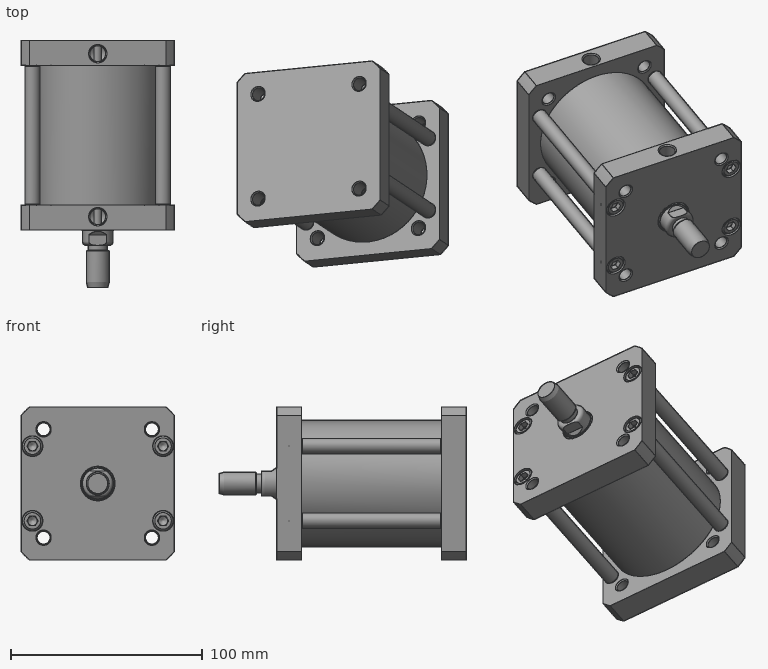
import cadquery as cq
import math


total_length = 129.0
rod_reach = 30.0
cap_size = 80.0
cap_thickness = 13.0
corner_diameter = 107.0
body_length = total_length - rod_reach
rear_cap_start = body_length - cap_thickness

barrel_diameter = 66.0
barrel_bore = 63.0

mount_offset = 28.3
mount_diameter = 6.7
mount_rim_diameter = 8.0

port_diameter = 8.3
port_rim_diameter = 9.5
port_depth = 9.0
port_tip_angle = 118.0
port_setback = 7.0
bar_diameter = 4.0
bar_depth = 9.0

tie_x = 34.0
tie_z = 19.5
tie_diameter = 8.0
tie_chamfer = 0.5
shank_diameter = 6.0
shank_rear_depth = 9.0
head_diameter = 10.5
head_edge_chamfer = 0.9
head_depth = 6.0
head_recess = 0.3
counterbore_diameter = 10.8
counterbore_depth = head_recess + head_depth
socket_width = 5.0
socket_turn = 30.0
socket_depth = 3.0
socket_tip_diameter = 4.9
socket_tip_depth = 1.4

rod_diameter = 16.0
rod_shoulder = 8.0
rod_edge_radius = 1.9
neck_diameter = 10.0
thread_diameter = 12.0
thread_start = 11.0
thread_start_chamfer = 0.5
tip_diameter = 10.5
tip_chamfer_length = 2.7
flat_width = 13.0
flat_start = 2.6
flat_runout = 1.9

recess_diameter = 18.0
recess_depth = 0.8
lip_base_diameter = 17.7
lip_tip_diameter = 16.5
lip_reach = 0.1

tie_positions = [(x, z) for x in (-tie_x, tie_x) for z in (-tie_z, tie_z)]
mount_positions = [(x, z) for x in (-mount_offset, mount_offset) for z in (-mount_offset, mount_offset)]


def revolve_y(points):
    """Turn a closed (radius, y) outline about the Y axis."""
    return cq.Workplane("XY").polyline(points).close().revolve(360, (0, 0, 0), (0, 1, 0))


def cylinder_y(diameter, start, end):
    """Round bar on the Y axis between two Y positions."""
    return cq.Workplane("XZ", origin=(0, start, 0)).circle(diameter / 2).extrude(start - end)


def place(shape, position):
    """Move a shape built on the Y axis to an (x, z) position."""
    x, z = position
    return shape.translate((x, 0, z))


def mount_hole(start, end):
    """Cutter for a through hole with both rims chamfered."""
    radius = mount_diameter / 2
    rim = mount_rim_diameter / 2
    chamfer = rim - radius
    return revolve_y([
        (0, start), (rim, start), (radius, start + chamfer),
        (radius, end - chamfer), (rim, end), (0, end),
    ])


def port_cutter(y):
    """Cutter for a chamfered port with a conical bottom, leaving its crossing bar."""
    top = cap_size / 2
    radius = port_diameter / 2
    rim = port_rim_diameter / 2
    bottom = top - port_depth
    tip = bottom - radius / math.tan(math.radians(port_tip_angle / 2))
    drill = (
        cq.Workplane("XZ")
        .polyline([(0, top), (rim, top), (radius, top - (rim - radius)), (radius, bottom), (0, tip)])
        .close()
        .revolve(360, (0, 0, 0), (0, 1, 0))
    )
    bar = place(cylinder_y(bar_diameter, -rim, rim), (0, top - bar_depth))
    return drill.cut(bar).translate((0, y, 0))


def make_cap(start, port_y):
    """Square cap with turned corners, mounting holes and a port."""
    end = start + cap_thickness
    cap = cq.Workplane("XZ", origin=(0, start, 0)).rect(cap_size, cap_size).extrude(-cap_thickness)
    cap = cap.intersect(cylinder_y(corner_diameter, start, end))
    for position in mount_positions:
        cap = cap.cut(place(mount_hole(start, end), position))
    return cap.cut(port_cutter(port_y))


def wiper_lip():
    """Cone that rises from the recess floor to just in front of the cap face."""
    base = lip_base_diameter / 2
    tip = lip_tip_diameter / 2
    return revolve_y([(0, recess_depth), (base, recess_depth), (tip, -lip_reach), (0, -lip_reach)])


def make_front_cap():
    cap = make_cap(0, port_setback)
    cap = cap.cut(cylinder_y(recess_diameter, 0, recess_depth)).union(wiper_lip())
    cap = cap.cut(cylinder_y(rod_diameter, -lip_reach, cap_thickness))
    for position in tie_positions:
        cap = cap.cut(place(cylinder_y(shank_diameter, 0, cap_thickness), position))
        cap = cap.cut(place(cylinder_y(counterbore_diameter, 0, counterbore_depth), position))
    return cap


def make_rear_cap():
    cap = make_cap(rear_cap_start, body_length - port_setback)
    for position in tie_positions:
        thread_end = rear_cap_start + shank_rear_depth
        cap = cap.cut(place(cylinder_y(shank_diameter, rear_cap_start, thread_end), position))
    return cap


def make_barrel():
    barrel = cylinder_y(barrel_diameter, cap_thickness, rear_cap_start)
    return barrel.cut(cylinder_y(barrel_bore, cap_thickness, rear_cap_start))


def make_tie_rod():
    """Tie rod with a socket head in front and a threaded rear end, on the Y axis."""
    head = cylinder_y(head_diameter, head_recess, counterbore_depth).faces("<Y").chamfer(head_edge_chamfer)
    shank = cylinder_y(shank_diameter, counterbore_depth, rear_cap_start + shank_rear_depth)
    sleeve = cylinder_y(tie_diameter, cap_thickness, rear_cap_start).faces("<Y or >Y").chamfer(tie_chamfer)
    socket = (
        cq.Workplane("XZ", origin=(0, head_recess, 0))
        .polygon(6, socket_width, circumscribed=True)
        .extrude(-socket_depth)
        .rotate((0, 0, 0), (0, 1, 0), socket_turn)
    )
    socket_end = head_recess + socket_depth
    socket_tip = revolve_y([
        (0, socket_end), (socket_tip_diameter / 2, socket_end), (0, socket_end + socket_tip_depth),
    ])
    return head.union(shank).union(sleeve).cut(socket).cut(socket_tip)


def make_piston_rod():
    """Stepped rod with a threaded nose and two wrench flats."""
    radius = rod_diameter / 2
    neck = neck_diameter / 2
    thread = thread_diameter / 2
    plain_rod = cylinder_y(rod_diameter, -rod_shoulder, cap_thickness)
    plain_rod = plain_rod.faces("<Y").edges().fillet(rod_edge_radius)
    nose = revolve_y([
        (0, -rod_shoulder), (neck, -rod_shoulder), (neck, thread_start_chamfer - thread_start),
        (thread, -thread_start), (thread, tip_chamfer_length - rod_reach),
        (tip_diameter / 2, -rod_reach), (0, -rod_reach),
    ])
    rod = plain_rod.union(nose)
    flat = flat_width / 2
    flat_cutter = (
        cq.Workplane("YZ", origin=(-radius, 0, 0))
        .polyline([
            (-rod_shoulder, flat), (-flat_start, flat),
            (flat_runout - flat_start, radius), (-rod_shoulder, radius),
        ])
        .close()
        .extrude(rod_diameter)
    )
    return rod.cut(flat_cutter).cut(flat_cutter.mirror("XY"))


front_cap = make_front_cap()
rear_cap = make_rear_cap()
barrel = make_barrel()
piston_rod = make_piston_rod()
tie_rods = [place(make_tie_rod(), position) for position in tie_positions]

result = cq.Compound.makeCompound([
    front_cap.val(),
    rear_cap.val(),
    barrel.val(),
    piston_rod.val(),
    *[tie_rod.val() for tie_rod in tie_rods],
])